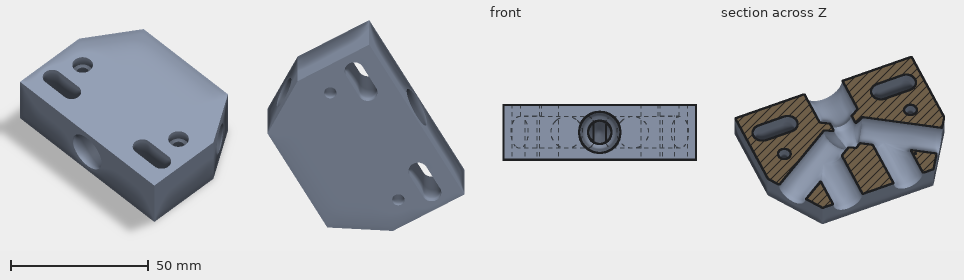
import cadquery as cq
import math

length = 70.0
depth = 50.0
height = 20.0
corner_cut_x = 13.0
corner_cut_y = 20.0

inlet_diameter = 15.0
inlet_depth = 14.0
passage_diameter = 8.5
passage_depth = 27.2

outlet_diameter = 11.55
outlet_depth = 29.4
meeting_y = 20.0

rear_port_x = 12.0
rear_port_depth = 22.0

drill_point_angle = 118.0

screw_x = 25.0
screw_y = 22.0
screw_diameter = 4.5
head_diameter = 7.5
head_depth = 4.0
slot_x = 23.45
slot_y = 10.0
slot_length = 17.0
slot_width = 7.0

half_length = length / 2
rear_half_length = half_length - corner_cut_x
shoulder_y = depth - corner_cut_y
mid_height = height / 2


def drilled_hole(start, direction, diameter, straight_depth):
    """Round hole with a conical drill point beyond its straight depth."""
    radius = diameter / 2
    point_length = radius / math.tan(math.radians(drill_point_angle / 2))
    axis = cq.Vector(*direction).normalized()
    mouth = cq.Vector(*start)
    bore = cq.Solid.makeCylinder(radius, straight_depth, mouth, axis)
    point = cq.Solid.makeCone(radius, 0, point_length, mouth + axis * straight_depth, axis)
    return cq.Workplane(bore).union(cq.Workplane(point))


def outlet_hole(side):
    """Hole from one cut corner towards the meeting point; side is -1 or 1."""
    face_length = math.hypot(corner_cut_x, corner_cut_y)
    normal_x = corner_cut_y / face_length
    normal_y = corner_cut_x / face_length
    reach = half_length * normal_x + (shoulder_y - meeting_y) * normal_y
    mouth = (side * reach * normal_x, meeting_y + reach * normal_y, mid_height)
    return drilled_hole(mouth, (-side * normal_x, -normal_y, 0), outlet_diameter, outlet_depth)


half_outline = [
    (half_length, 0),
    (half_length, shoulder_y),
    (rear_half_length, depth),
]
mirrored_outline = [(-x, y) for x, y in reversed(half_outline)]
block = cq.Workplane("XY").polyline(half_outline + mirrored_outline).close().extrude(height)

front_mouth = (0, 0, mid_height)
block = block.cut(drilled_hole(front_mouth, (0, 1, 0), inlet_diameter, inlet_depth))
block = block.cut(drilled_hole(front_mouth, (0, 1, 0), passage_diameter, passage_depth))
for side in (-1, 1):
    block = block.cut(outlet_hole(side))
    rear_mouth = (side * rear_port_x, depth, mid_height)
    block = block.cut(drilled_hole(rear_mouth, (0, -1, 0), outlet_diameter, rear_port_depth))

top = block.faces(">Z").workplane(origin=(0, 0, height))
block = top.pushPoints([(-screw_x, screw_y), (screw_x, screw_y)]).cboreHole(
    screw_diameter, head_diameter, head_depth
)
top = block.faces(">Z").workplane(origin=(0, 0, height))
block = top.pushPoints([(-slot_x, slot_y), (slot_x, slot_y)]).slot2D(slot_length, slot_width).cutThruAll()

result = block